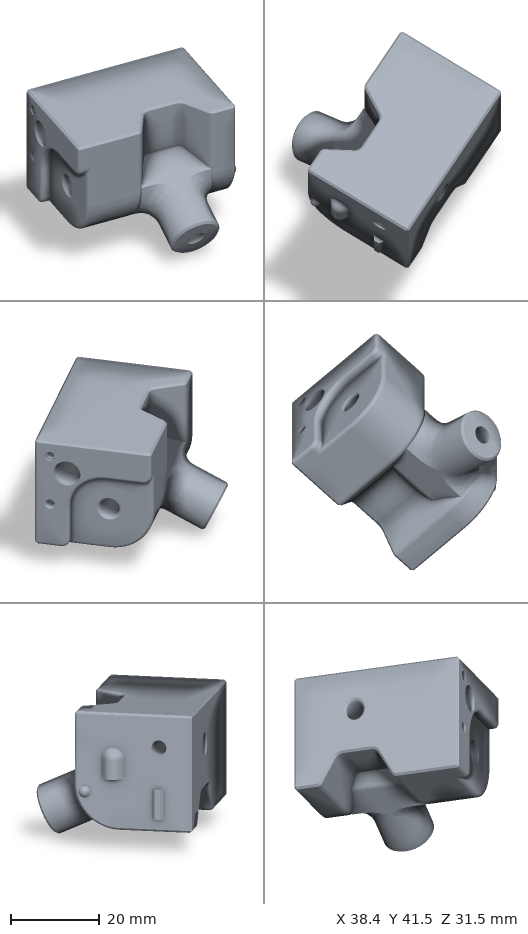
import cadquery as cq
import math


hub_radius = 10.3
block_width = 27.0
block_depth = 39.6
left_x = hub_radius - block_width
top_z = block_width - hub_radius
edge_chamfer = 0.5

recess_depth = 2.2
recess_radius = 8.7
recess_corner_radius = 2.0
rim_fillet = 0.85

slot_y = 24.55
slot_floor = 2.95
slot_floor_half = 4.55
slot_wall_angle = 30.0
slot_floor_corner = 2.0
slot_mouth_corner = 1.45
slot_reach = 2 * block_width

arm_angle = 25.0
arm_y = 25.0
arm_offset = 0.5
arm_shoulder = 0.65
arm_taper_angle = 33.0
arm_shoulder_fillet = 1.65
tube_diameter = 12.0
tube_end = 21.6
tube_chamfer = 0.5
flare_radius = 4.7

pivot_hole_diameter = 4.7
pivot_hole_depth = 9.95
pivot_countersink = 5.5
cable_hole_diameter = 4.2
cable_hole_chamfer = 0.4
bolt_x = -9.17
bolt_z = 9.15
bolt_diameter = 3.4
bolt_head_diameter = 6.2
bolt_head_depth = 9.95
pin_x = -13.15
pin_upper_z = 13.1
pin_lower_z = 0.62
pin_diameter = 1.6
pin_mouth_diameter = 2.4
pin_depth = 3.3
pin_counterbore_depth = 0.5

bar_x = -9.0
bar_base = 2.75
bar_top = 1.33
bar_height = 1.0
bar_upper_z = -0.37
bar_lower_z = -7.25
button_x = 8.0
button_z = -1.75
button_shoulder_width = 2.15
button_shoulder_height = 0.37
ridge_x = 1.45
ridge_upper_z = 6.2
ridge_lower_z = 1.6
ridge_height = 1.9
ridge_base = 5.23
ridge_shoulder_width = 3.4
ridge_shoulder_height = 0.95


def on_y(y):
    """Plane facing the front, with local axes along +X and +Z, at the given Y."""
    return cq.Workplane("XZ", origin=(0, y, 0))


def make_outline_solid(front_y):
    """The block's outline extruded from the given Y to the back face."""
    return (
        on_y(front_y)
        .moveTo(left_x, top_z)
        .lineTo(hub_radius, top_z)
        .lineTo(hub_radius, 0)
        .radiusArc((0, -hub_radius), hub_radius)
        .lineTo(left_x, -hub_radius)
        .close()
        .extrude(front_y - block_depth)
    )


def make_recess(depth):
    """Corner-shaped pocket whose two walls are joined by an arc about the pivot."""
    beyond = 2 * hub_radius
    wall_end = hub_radius - recess_corner_radius
    flare_end = recess_radius + recess_corner_radius
    outline = (
        on_y(0)
        .moveTo(0, recess_radius)
        .lineTo(wall_end, recess_radius)
        .radiusArc((hub_radius, flare_end), -recess_corner_radius)
        .lineTo(beyond, flare_end)
        .lineTo(beyond, -beyond)
        .lineTo(-flare_end, -beyond)
        .lineTo(-flare_end, -hub_radius)
        .radiusArc((-recess_radius, -wall_end), -recess_corner_radius)
        .lineTo(-recess_radius, 0)
        .radiusArc((0, recess_radius), recess_radius)
        .close()
    )
    return outline.extrude(-depth)


def make_block():
    """Block whose front rims are rounded, both beside the recess and on the recess floor."""
    raised = make_outline_solid(0).cut(make_recess(block_depth))
    raised = raised.faces("<Y").edges("not (>Z or <X)").fillet(rim_fillet)
    floor = make_outline_solid(recess_depth)
    floor = floor.faces("<Y").edges("not (>Z or <X)").fillet(rim_fillet)
    return raised.union(floor)


def swept_slot(section):
    """Carry a slot section straight down to the pivot, a quarter turn round it, then straight to -X."""
    section_plane = cq.Workplane("XY", origin=(0, slot_y, 0)).placeSketch(section)
    upright = section_plane.extrude(slot_reach)
    turn = section_plane.revolve(90, (0, 0), (0, 1))
    level = section_plane.extrude(-slot_reach).rotate((0, 0, 0), (0, 1, 0), 90)
    return upright.union(turn).union(level)


def slot_half(distance):
    """Half width of the slot at a distance from the pivot axis."""
    slope = math.tan(math.radians(slot_wall_angle))
    return slot_floor_half + (distance - slot_floor) * slope


def make_slot():
    mouth = slot_half(hub_radius)
    tip = slot_half(slot_reach)
    upper_side = [
        (slot_floor, slot_floor_half),
        (hub_radius, mouth),
        (hub_radius, tip),
        (slot_reach, tip),
    ]
    lower_side = [(x, -y) for x, y in reversed(upper_side)]
    section = cq.Sketch().polygon(upper_side + lower_side + upper_side[:1])
    section = section.vertices("<X").fillet(slot_floor_corner)
    mouth_corners = cq.selectors.BoxSelector(
        (hub_radius - 0.4, -mouth - 0.4, -0.4), (hub_radius + 0.4, mouth + 0.4, 0.4)
    )
    section = section.reset().vertices(mouth_corners).fillet(slot_mouth_corner)
    return swept_slot(section)


def make_arm_envelope():
    """The slot with its side walls carried straight on past the mouth."""
    tip = slot_half(slot_reach)
    corners = [
        (slot_floor, slot_floor_half),
        (slot_reach, tip),
        (slot_reach, -tip),
        (slot_floor, -slot_floor_half),
        (slot_floor, slot_floor_half),
    ]
    section = cq.Sketch().polygon(corners).vertices("<X").fillet(slot_floor_corner)
    return swept_slot(section)


def make_arm():
    """Flat-sided hub sector with a taper behind and a flared tube in front, swung to its angle."""
    tube_radius = tube_diameter / 2
    nose = arm_shoulder - tube_radius / math.tan(math.radians(arm_taper_angle))
    shoulders = cq.selectors.BoxSelector(
        (arm_shoulder - 0.4, 0, -hub_radius), (arm_shoulder + 0.4, block_depth, hub_radius)
    )
    blade = (
        cq.Workplane("XZ", origin=(0, 0, -arm_offset))
        .moveTo(nose, 0)
        .lineTo(arm_shoulder, tube_radius)
        .lineTo(slot_reach, tube_radius)
        .lineTo(slot_reach, -tube_radius)
        .lineTo(arm_shoulder, -tube_radius)
        .close()
        .extrude(-block_depth)
        .edges(shoulders)
        .fillet(arm_shoulder_fillet)
    )
    hub = on_y(0).circle(hub_radius).extrude(-block_depth)
    tube = (
        cq.Workplane("YZ", origin=(0, arm_y, -arm_offset))
        .circle(tube_radius)
        .extrude(tube_end)
        .faces(">X")
        .chamfer(tube_chamfer)
    )
    joint = cq.selectors.BoxSelector((0.4, 0, -hub_radius), (hub_radius + 0.4, block_depth, hub_radius))
    arm = hub.union(tube).edges(joint).fillet(flare_radius).intersect(blade)
    arm = arm.rotate((0, 0, 0), (0, 1, 0), arm_angle)
    return arm.intersect(make_arm_envelope())


def drill(x, y, z, diameter, depth):
    """Round cutter going from the given point towards +Y."""
    return on_y(y).center(x, z).circle(diameter / 2).extrude(-depth)


def countersink(x, y, z, outer, inner):
    """45 degree cone cutter narrowing towards +Y."""
    depth = (outer - inner) / 2
    cone = cq.Solid.makeCone(outer / 2, inner / 2, depth, cq.Vector(x, y, z), cq.Vector(0, 1, 0))
    return cq.Workplane(cone)


def make_front_holes():
    pivot = drill(0, recess_depth, 0, pivot_hole_diameter, pivot_hole_depth)
    pivot = pivot.union(countersink(0, recess_depth, 0, pivot_countersink, pivot_hole_diameter))
    bolt = drill(bolt_x, 0, bolt_z, bolt_diameter, block_depth)
    bolt = bolt.union(drill(bolt_x, 0, bolt_z, bolt_head_diameter, bolt_head_depth))
    upper_pin = drill(pin_x, 0, pin_upper_z, pin_diameter, pin_depth)
    upper_pin = upper_pin.union(drill(pin_x, 0, pin_upper_z, pin_mouth_diameter, pin_counterbore_depth))
    lower_pin = drill(pin_x, 0, pin_lower_z, pin_diameter, pin_depth)
    lower_pin = lower_pin.union(countersink(pin_x, 0, pin_lower_z, pin_mouth_diameter, pin_diameter))
    return [pivot, bolt, upper_pin, lower_pin]


def cut_cable_hole(part):
    """Bore along the tube axis, from the left face out through the tube, with a chamfered mouth."""
    bore = (
        cq.Workplane("YZ", origin=(-block_width, arm_y, -arm_offset))
        .circle(cable_hole_diameter / 2)
        .extrude(block_width + tube_end)
        .rotate((0, 0, 0), (0, 1, 0), arm_angle)
    )
    part = part.cut(bore)
    return part.faces("<X").edges("%ELLIPSE").chamfer(cable_hole_chamfer)


def make_bar():
    return (
        cq.Workplane("XY", origin=(bar_x, block_depth, bar_lower_z))
        .moveTo(-bar_base / 2, 0)
        .lineTo(-bar_top / 2, bar_height)
        .lineTo(bar_top / 2, bar_height)
        .lineTo(bar_base / 2, 0)
        .close()
        .extrude(bar_upper_z - bar_lower_z)
    )


def half_dome(x, z, height, base, shoulder_width, shoulder_height):
    """Right half of a domed profile: a convex crown running into a concave foot."""
    half_width = shoulder_width / 2
    crown_rise = height - shoulder_height
    crown_radius = (half_width**2 + crown_rise**2) / (2 * crown_rise)
    return (
        cq.Workplane("XY", origin=(x, block_depth, z))
        .lineTo(0, height)
        .radiusArc((half_width, shoulder_height), crown_radius)
        .tangentArcPoint((base / 2, 0), relative=False)
        .close()
    )


def make_button():
    profile = half_dome(
        button_x, button_z, bar_height, bar_base, button_shoulder_width, button_shoulder_height
    )
    return profile.revolve(360, (0, 0), (0, 1))


def make_ridge():
    """Domed ridge running down Z from a round upper end."""
    profile = half_dome(
        ridge_x, ridge_upper_z, ridge_height, ridge_base, ridge_shoulder_width, ridge_shoulder_height
    )
    end = profile.revolve(360, (0, 0), (0, 1))
    half = profile.wires().toPending().extrude(ridge_lower_z - ridge_upper_z)
    other_half = half.mirror("YZ", (ridge_x, 0, 0))
    return end.union(half).union(other_half)


block = make_block().cut(make_slot())
block = block.faces(">Z or <X or >Y").edges().chamfer(edge_chamfer)

result = block.union(make_arm())
result = cut_cable_hole(result)
for cutter in make_front_holes():
    result = result.cut(cutter)
for mark in (make_bar(), make_button(), make_ridge()):
    result = result.union(mark)